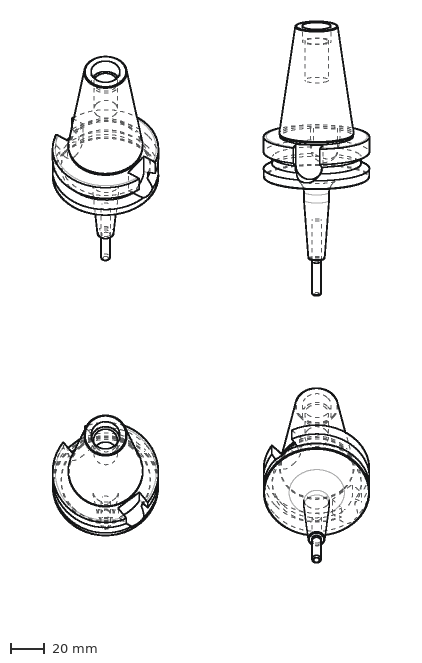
import cadquery as cq
import math

total_height = 164.4

gauge_radius = 22.2
gauge_height = 99.0
taper_slope = 7 / 24 / 2
taper_tip_chamfer = 0.5

relief_radius = 21.7
relief_lead_bottom = 98.1

flange_diameter = 63.0
flange_radius = flange_diameter / 2
flange_top = 97.0
flange_bottom = 72.0
flange_top_chamfer_width = 1.5
flange_top_chamfer_height = 0.3
flange_bottom_chamfer = 0.5
groove_root_radius = 26.5
groove_centre = 82.4
groove_root_width = 4.1
groove_angle = 30.0

slot_width = 16.1
slot_floor_x = 22.4
slot_bottom = 76.0

neck_radius = 7.5
neck_fillet = 8.9
neck_bottom = 58.2
nose_radius = 5.0
nose_bottom = 22.2
nose_chamfer = 0.5

bore_radius = 8.5
bore_depth = 9.2
inner_bore_radius = 7.0
inner_bore_depth = 32.9

cutter_diameter = 5.5
cutter_radius = cutter_diameter / 2
cutting_length = 20.2
shank_top = 46.0
tip_chamfer = 1.0


def make_holder_blank():
    """Revolved profile of the taper, flange, neck and nose."""
    taper_tip_radius = gauge_radius - taper_slope * (total_height - gauge_height)
    chamfer_bottom = total_height - taper_tip_chamfer
    chamfer_radius = gauge_radius - taper_slope * (chamfer_bottom - gauge_height)
    wall_height = (flange_radius - groove_root_radius) * math.tan(math.radians(groove_angle))
    groove_root_top = groove_centre + groove_root_width / 2
    groove_root_bottom = groove_centre - groove_root_width / 2
    fillet_bottom = flange_bottom - neck_fillet
    fillet_offset = neck_fillet * (1 - math.sqrt(0.5))
    fillet_middle = (neck_radius + fillet_offset, flange_bottom - fillet_offset)

    return (
        cq.Workplane("XZ")
        .moveTo(0, total_height)
        .lineTo(taper_tip_radius - taper_tip_chamfer, total_height)
        .lineTo(chamfer_radius, chamfer_bottom)
        .lineTo(gauge_radius, gauge_height)
        .lineTo(relief_radius, relief_lead_bottom)
        .lineTo(relief_radius, flange_top)
        .lineTo(flange_radius - flange_top_chamfer_width, flange_top)
        .lineTo(flange_radius, flange_top - flange_top_chamfer_height)
        .lineTo(flange_radius, groove_root_top + wall_height)
        .lineTo(groove_root_radius, groove_root_top)
        .lineTo(groove_root_radius, groove_root_bottom)
        .lineTo(flange_radius, groove_root_bottom - wall_height)
        .lineTo(flange_radius, flange_bottom + flange_bottom_chamfer)
        .lineTo(flange_radius - flange_bottom_chamfer, flange_bottom)
        .lineTo(neck_radius + neck_fillet, flange_bottom)
        .threePointArc(fillet_middle, (neck_radius, fillet_bottom))
        .lineTo(neck_radius, neck_bottom)
        .lineTo(nose_radius, nose_bottom + nose_chamfer)
        .lineTo(nose_radius - nose_chamfer, nose_bottom)
        .lineTo(0, nose_bottom)
        .close()
        .revolve(360, (0, 0, 0), (0, 1, 0))
    )


def make_drive_slot(side):
    """Round-bottomed slot cutter on the +X (side = 1) or -X (side = -1) side."""
    half_width = slot_width / 2
    arc_centre = slot_bottom + half_width
    slot_depth = flange_radius - slot_floor_x
    return (
        cq.Workplane("YZ", origin=(side * slot_floor_x, 0, 0))
        .moveTo(-half_width, flange_top)
        .lineTo(-half_width, arc_centre)
        .threePointArc((0, slot_bottom), (half_width, arc_centre))
        .lineTo(half_width, flange_top)
        .close()
        .extrude(side * slot_depth)
    )


def make_rod(radius, bottom, top):
    """Upright cylinder on the Z axis."""
    return cq.Workplane("XY", origin=(0, 0, bottom)).circle(radius).extrude(top - bottom)


def make_holder():
    body = make_holder_blank()
    for side in (-1, 1):
        body = body.cut(make_drive_slot(side))
    body = body.cut(make_rod(bore_radius, total_height - bore_depth, total_height))
    body = body.cut(make_rod(inner_bore_radius, total_height - inner_bore_depth, total_height))
    return body.cut(make_rod(cutter_radius, nose_bottom, shank_top))


def make_cutter_shank():
    """Plain part of the cutter, held in the nose bore."""
    return make_rod(cutter_radius, cutting_length, shank_top)


def make_cutting_end():
    """Working end of the cutter, with a chamfered tip."""
    return make_rod(cutter_radius, 0, cutting_length).faces("<Z").chamfer(tip_chamfer)


holder = make_holder()
cutter_shank = make_cutter_shank()
cutting_end = make_cutting_end()

result = cq.Compound.makeCompound([holder.val(), cutter_shank.val(), cutting_end.val()])